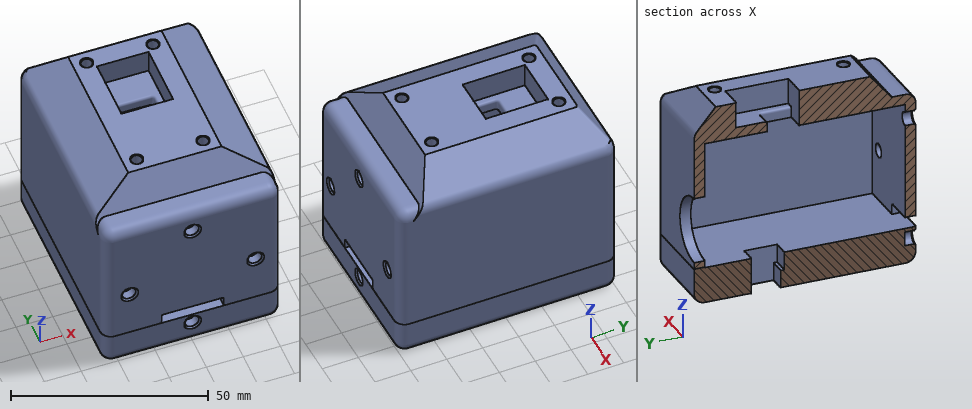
import cadquery as cq

WIDTH = 48.0
LENGTH = 61.0
BOX_HEIGHT = 48.0
TOTAL_HEIGHT = 55.0
EDGE_RADIUS = 3.0
HIP_RADIUS = 1.0
BASE_HEIGHT = 10.0
WALL = 3.0

ROOF_TOP_WIDTH = 25.25
ROOF_RUN = 5.9
ROOF_BACK_Y = LENGTH / 2
ROOF_FRONT_Y = -23.85
ROOF_SLOPE = (TOTAL_HEIGHT - BOX_HEIGHT) / ROOF_RUN

RECESS_WIDTH = 13.95
RECESS_FRONT_Y = 1.6
RECESS_BACK_Y = 18.9
OPENING_WIDTH = 10.0
OPENING_BACK_Y = 10.4
OPENING_RADIUS = 0.75

ROOF_HOLE_DIAMETER = 3.0
ROOF_HOLE_RIM = 3.4
ROOF_HOLE_X = 8.95
ROOF_HOLE_YS = (-14.4, 21.0)
FACE_HOLE_DIAMETER = 3.7
FACE_HOLE_RIM = 4.65
FACE_HOLE_RING_RADIUS = 17.0
FACE_CENTER_Z = BOX_HEIGHT / 2

SLOT_WIDTH = 16.85
SLOT_HEIGHT = 3.0
SLOT_CORNER = 0.5
BACK_HOLE_RADIUS = 9.0
BACK_HOLE_BOTTOM_Z = 11.95

WINDOW_SIZE = 9.0
WINDOW_FRONT_Y = 5.75
LEDGE_WIDTH = 1.0

PICK_MARGIN = 0.6


def block(x_size, y_min, y_max, z_min, z_max):
    """Box centred on X, between the given limits in Y and Z."""
    box = cq.Workplane("XY").box(x_size, y_max - y_min, z_max - z_min, centered=(True, False, False))
    return box.translate((0, y_min, z_min))


def rounded_box():
    """Box with every edge rounded, which forms the front and the bottom of the shape."""
    return block(WIDTH, -LENGTH / 2, LENGTH / 2, 0, BOX_HEIGHT).edges().fillet(EDGE_RADIUS)


def roof_block():
    """Hipped roof, rounded along its eaves, back hips and back corners and cut by the front slope."""
    half_width = WIDTH / 2
    bottom = BOX_HEIGHT - EDGE_RADIUS
    gable = (
        cq.Workplane("XZ", origin=(0, LENGTH / 2, 0))
        .moveTo(-half_width, 0)
        .lineTo(half_width, 0)
        .lineTo(half_width, BOX_HEIGHT)
        .lineTo(ROOF_TOP_WIDTH / 2, TOTAL_HEIGHT)
        .lineTo(-ROOF_TOP_WIDTH / 2, TOTAL_HEIGHT)
        .lineTo(-half_width, BOX_HEIGHT)
        .close()
        .extrude(LENGTH)
    )
    back_slope = (
        cq.Workplane("YZ", origin=(-half_width, 0, 0))
        .moveTo(ROOF_BACK_Y, BOX_HEIGHT)
        .lineTo(ROOF_BACK_Y, TOTAL_HEIGHT)
        .lineTo(ROOF_BACK_Y - ROOF_RUN, TOTAL_HEIGHT)
        .close()
        .extrude(WIDTH)
    )
    hipped = gable.cut(back_slope)

    rounded_hips = hipped.edges(
        cq.selectors.BoxSelector(
            (-half_width, ROOF_BACK_Y - ROOF_RUN, BOX_HEIGHT + PICK_MARGIN),
            (half_width, ROOF_BACK_Y, TOTAL_HEIGHT - PICK_MARGIN),
        )
    ).fillet(HIP_RADIUS)
    back_corners = hipped.edges("|Z and >Y")
    eaves = hipped.edges(
        cq.selectors.BoxSelector(
            (-half_width - PICK_MARGIN, -LENGTH, BOX_HEIGHT - PICK_MARGIN),
            (half_width + PICK_MARGIN, LENGTH, BOX_HEIGHT + PICK_MARGIN),
        )
    )
    rounded_eaves = eaves.add(back_corners).fillet(EDGE_RADIUS)
    rounded = rounded_eaves.intersect(rounded_hips)

    front_slope = (
        cq.Workplane("YZ", origin=(-half_width, 0, 0))
        .moveTo(ROOF_FRONT_Y - EDGE_RADIUS / ROOF_SLOPE, bottom)
        .lineTo(ROOF_BACK_Y, bottom)
        .lineTo(ROOF_BACK_Y, TOTAL_HEIGHT)
        .lineTo(ROOF_FRONT_Y + ROOF_RUN, TOTAL_HEIGHT)
        .close()
        .extrude(WIDTH)
    )
    return rounded.intersect(front_slope)


def rimmed_hole(plane, diameter, rim, depth):
    """Cutter for a hole with a 45 degree rim, sunk from the plane against its normal."""
    bevel = (rim - diameter) / 2
    shaft = cq.Workplane(plane).circle(diameter / 2).extrude(-depth)
    return shaft.union(cq.Workplane(plane).circle(rim / 2).extrude(-bevel, taper=45))


def face_holes():
    """Four holes on a ring in the front face, as deep as the wall; the lowest enters the base."""
    radius = FACE_HOLE_RING_RADIUS
    cutters = cq.Workplane("XY")
    for x, z in ((radius, 0), (0, radius), (-radius, 0), (0, -radius)):
        plane = cq.Plane((x, -LENGTH / 2, FACE_CENTER_Z + z), (1, 0, 0), (0, -1, 0))
        cutters = cutters.add(rimmed_hole(plane, FACE_HOLE_DIAMETER, FACE_HOLE_RIM, WALL))
    return cutters.combine()


def roof_holes():
    """Four holes through the flat top into the cavity."""
    depth = TOTAL_HEIGHT - BOX_HEIGHT + WALL
    cutters = cq.Workplane("XY")
    for x in (-ROOF_HOLE_X, ROOF_HOLE_X):
        for y in ROOF_HOLE_YS:
            plane = cq.Plane((x, y, TOTAL_HEIGHT))
            cutters = cutters.add(rimmed_hole(plane, ROOF_HOLE_DIAMETER, ROOF_HOLE_RIM, depth))
    return cutters.combine()


def roof_recess():
    """Recess down to the box height, with a round-edged opening from its floor into the cavity."""
    recess = block(RECESS_WIDTH, RECESS_FRONT_Y, RECESS_BACK_Y, BOX_HEIGHT, TOTAL_HEIGHT)
    floor = block(RECESS_WIDTH, RECESS_FRONT_Y, RECESS_BACK_Y, BOX_HEIGHT - WALL, BOX_HEIGHT)
    opening = (
        block(OPENING_WIDTH, RECESS_FRONT_Y, OPENING_BACK_Y, BOX_HEIGHT - WALL, BOX_HEIGHT)
        .edges("|Z and >Y")
        .fillet(OPENING_RADIUS)
    )
    reach = OPENING_WIDTH / 2 + PICK_MARGIN
    opening_rim = cq.selectors.BoxSelector(
        (-reach, RECESS_FRONT_Y + PICK_MARGIN, BOX_HEIGHT - PICK_MARGIN),
        (reach, OPENING_BACK_Y + PICK_MARGIN, BOX_HEIGHT + PICK_MARGIN),
    )
    pierced_floor = floor.cut(opening).edges(opening_rim).fillet(OPENING_RADIUS)
    return recess.union(floor.cut(pierced_floor))


def front_slot():
    """Low slot through the front wall, with small upper corners, resting on the base."""
    return (
        block(SLOT_WIDTH, -LENGTH / 2, -LENGTH / 2 + WALL, BASE_HEIGHT, BASE_HEIGHT + SLOT_HEIGHT)
        .edges("|Y and >Z")
        .fillet(SLOT_CORNER)
    )


def back_hole():
    """Round hole through the back wall."""
    return (
        cq.Workplane("XZ", origin=(0, LENGTH / 2, BACK_HOLE_BOTTOM_Z + BACK_HOLE_RADIUS))
        .circle(BACK_HOLE_RADIUS)
        .extrude(WALL)
    )


def cavity():
    """Hollow of the housing, open at the bottom and closed there by the base."""
    inner_y = LENGTH / 2 - WALL
    return block(WIDTH - 2 * WALL, -inner_y, inner_y, BASE_HEIGHT, BOX_HEIGHT - WALL)


def base_window():
    """Square window through the base with a ledge along its front side at half height."""
    back_y = WINDOW_FRONT_Y + WINDOW_SIZE
    upper = block(WINDOW_SIZE, WINDOW_FRONT_Y, back_y, BASE_HEIGHT / 2, BASE_HEIGHT)
    lower = block(WINDOW_SIZE, WINDOW_FRONT_Y + LEDGE_WIDTH, back_y, 0, BASE_HEIGHT / 2)
    return upper.union(lower)


def make_housing():
    below_joint = block(WIDTH, -LENGTH / 2, LENGTH / 2, 0, BASE_HEIGHT)
    shell = rounded_box().cut(below_joint).union(roof_block())
    shell = shell.cut(cavity()).cut(roof_recess()).cut(roof_holes())
    return shell.cut(face_holes()).cut(front_slot()).cut(back_hole())


def make_base():
    above_joint = block(WIDTH, -LENGTH / 2, LENGTH / 2, BASE_HEIGHT, BOX_HEIGHT)
    return rounded_box().cut(above_joint).cut(face_holes()).cut(base_window())


housing = make_housing()
base = make_base()
result = cq.Compound.makeCompound([housing.val(), base.val()])